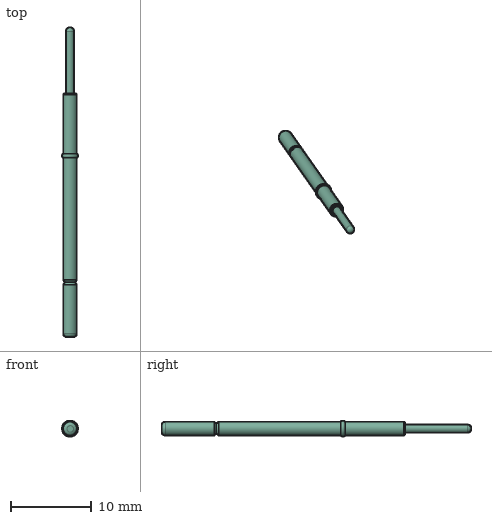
import cadquery as cq
import math

total_length = 38.7
front_y = -total_length / 2
tip_y = total_length / 2

barrel_radius = 0.87
front_round = 0.45
barrel_end_y = 11.05
barrel_end_chamfer = 0.15

plunger_radius = 0.522

collar_radius = 1.0
collar_y = 3.3
collar_half_width = 0.27

groove_y = -12.5
groove_half_width = 0.29
groove_depth = 0.25

diagonal = math.sqrt(0.5)


def round_middle(center_x, center_y, radius, y_direction):
    """Middle point of a convex quarter-circle corner."""
    return (center_x + radius * diagonal, center_y + y_direction * radius * diagonal)


front_flat_radius = barrel_radius - front_round
front_round_y = front_y + front_round
groove_bottom_radius = barrel_radius - groove_depth
shoulder_flat_radius = barrel_radius - barrel_end_chamfer
shoulder_chamfer_y = barrel_end_y - barrel_end_chamfer
dome_y = tip_y - plunger_radius

profile = (
    cq.Workplane("XY")
    .moveTo(0, front_y)
    .lineTo(front_flat_radius, front_y)
    .threePointArc(
        round_middle(front_flat_radius, front_round_y, front_round, -1),
        (barrel_radius, front_round_y),
    )
    .lineTo(barrel_radius, groove_y - groove_half_width)
    .lineTo(groove_bottom_radius, groove_y)
    .lineTo(barrel_radius, groove_y + groove_half_width)
    .lineTo(barrel_radius, collar_y - collar_half_width)
    .threePointArc(
        (collar_radius, collar_y),
        (barrel_radius, collar_y + collar_half_width),
    )
    .lineTo(barrel_radius, shoulder_chamfer_y)
    .lineTo(shoulder_flat_radius, barrel_end_y)
    .lineTo(plunger_radius, barrel_end_y)
    .lineTo(plunger_radius, dome_y)
    .threePointArc(round_middle(0, dome_y, plunger_radius, 1), (0, tip_y))
    .close()
)

result = profile.revolve(360, (0, 0, 0), (0, 1, 0))